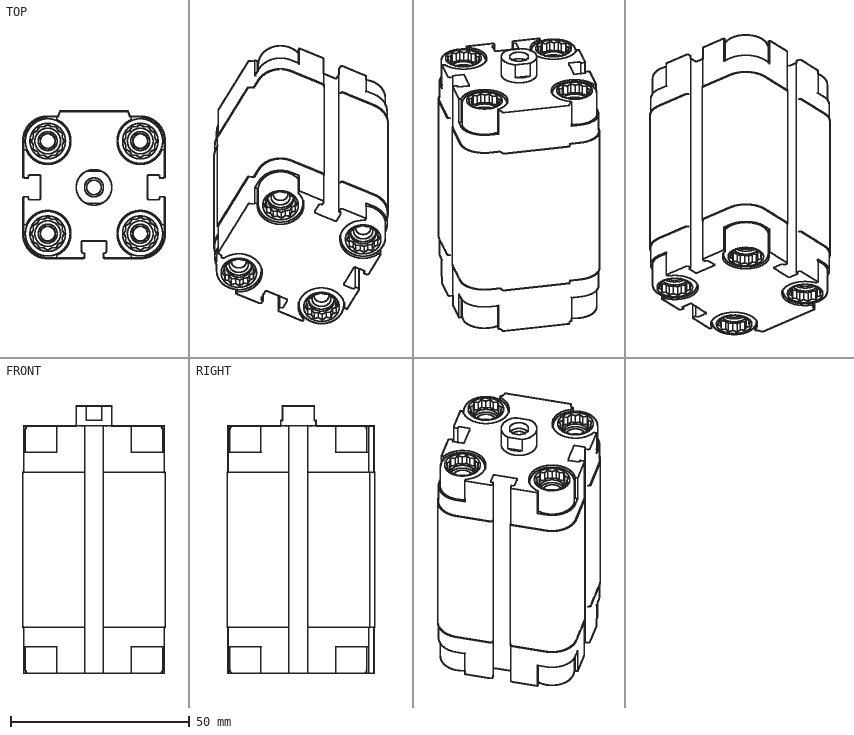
import cadquery as cq
import math

TOTAL_HEIGHT = 75.0
ROD_PROJECTION = 5.6
HOUSING_HEIGHT = TOTAL_HEIGHT - ROD_PROJECTION
CAP_HEIGHT = 13.0
BARREL_HEIGHT = HOUSING_HEIGHT - 2 * CAP_HEIGHT

BARREL_WIDTH = 40.0
BARREL_HALF = BARREL_WIDTH / 2
CAP_INSET = 0.25
CORNER_OFFSET = 13.0

RAIL_FOOT_HALF_WIDTH = 10.05
RAIL_TOP_HALF_WIDTH = 9.5
RAIL_HEIGHT = 1.5
RAIL_CREST_ROUND = 0.2
RAIL_FOOT_ROUND = 0.45

SLOT_MOUTH = 5.25
SLOT_WIDTH = 6.9
SLOT_LIP = 1.6
SLOT_DEPTH = 4.95
SLOT_MOUTH_ROUND = 0.5
SLOT_LIP_ROUND = 0.5
SLOT_FLOOR_ROUND = 0.3
SLOT_TURNS = (0, 90, -90)

POCKET_DEPTH = 7.4
POCKET_DIAMETER = 13.05
POCKET_WALL = 10.5
BOSS_DIAMETER = 12.5
BOSS_ROUND = 1.0

SOCKET_MOUTH_DIAMETER = 10.0
SOCKET_MOUTH_BOTTOM_DIAMETER = 8.1
SOCKET_MOUTH_SLOPE = 30.0
HEXAGON_SIDES = 6
HALF_SIDE_ANGLE = 180.0 / HEXAGON_SIDES
SOCKET_ACROSS_FLATS = 8.0
SOCKET_DEPTH = 3.0
RECESS_DIAMETER = 7.2
RECESS_DEPTH = 4.0
COUNTERSINK_DIAMETER = 5.3
COUNTERSINK_SLOPE = 65.0
BORE_DIAMETER = 4.1

ROD_DIAMETER = 10.0
ROD_FLATS = 9.0
ROD_FLAT_HEIGHT = 4.05
ROD_COUNTERBORE_DIAMETER = 5.3
ROD_COUNTERBORE_DEPTH = 2.0
ROD_HOLE_DIAMETER = 4.1
ROD_HOLE_DEPTH = 10.0
DRILL_POINT_ANGLE = 118.0

CORNERS = [(sx, sy) for sx in (-1, 1) for sy in (-1, 1)]


def slot_cutter(half, height):
    """T-slot on the -Y side of a section whose side face is at y = -half."""
    lip_back = -BARREL_HALF + SLOT_LIP
    floor = -BARREL_HALF + SLOT_DEPTH
    mouth = (
        cq.Workplane("XY")
        .moveTo(0, lip_back)
        .lineTo(SLOT_MOUTH / 2, lip_back)
        .lineTo(SLOT_MOUTH / 2, -half + SLOT_MOUTH_ROUND)
        .radiusArc((SLOT_MOUTH / 2 + SLOT_MOUTH_ROUND, -half), -SLOT_MOUTH_ROUND)
        .lineTo(0, -half)
        .mirrorY()
        .extrude(height)
    )
    channel = (
        cq.Workplane("XY")
        .center(0, (lip_back + floor) / 2)
        .rect(SLOT_WIDTH, floor - lip_back)
        .extrude(height)
        .faces("<Y")
        .edges("|Z")
        .fillet(SLOT_LIP_ROUND)
        .faces(">Y")
        .edges("|Z")
        .fillet(SLOT_FLOOR_ROUND)
    )
    return mouth.union(channel)


def rail(half, height):
    """Rail with sloping flanks and rounded crests, rooted inside the +Y side."""
    return (
        cq.Workplane("XY")
        .moveTo(-RAIL_FOOT_HALF_WIDTH, half - RAIL_HEIGHT)
        .lineTo(RAIL_FOOT_HALF_WIDTH, half - RAIL_HEIGHT)
        .lineTo(RAIL_FOOT_HALF_WIDTH, half)
        .lineTo(RAIL_TOP_HALF_WIDTH, half + RAIL_HEIGHT)
        .lineTo(-RAIL_TOP_HALF_WIDTH, half + RAIL_HEIGHT)
        .lineTo(-RAIL_FOOT_HALF_WIDTH, half)
        .close()
        .extrude(height)
        .faces(">Y")
        .edges("|Z")
        .fillet(RAIL_CREST_ROUND)
    )


def round_rail_feet(section, half, height):
    """Fillet the two inside edges where the rail leaves the +Y side."""
    reach = RAIL_FOOT_ROUND / 2
    feet = cq.selectors.BoxSelector(
        (-RAIL_FOOT_HALF_WIDTH - reach, half - reach, 0),
        (RAIL_FOOT_HALF_WIDTH + reach, half + reach, height),
    )
    return section.edges("|Z").edges(feet).fillet(RAIL_FOOT_ROUND)


def profile_section(half, height):
    """Length of slotted profile standing on z = 0."""
    section = (
        cq.Workplane("XY")
        .rect(2 * half, 2 * half)
        .extrude(height)
        .edges("|Z")
        .fillet(half - CORNER_OFFSET)
        .union(rail(half, height))
    )
    section = round_rail_feet(section, half, height)
    cutter = slot_cutter(half, height)
    for turn in SLOT_TURNS:
        section = section.cut(cutter.rotate((0, 0, 0), (0, 0, 1), turn))
    return section


def corner_pocket(sx, sy):
    """Ring-shaped clearance around a boss, opened to the outside corner."""
    floor = CAP_HEIGHT - POCKET_DEPTH
    opening = BARREL_HALF - POCKET_WALL
    middle = POCKET_WALL + opening / 2
    pocket = (
        cq.Workplane("XY", origin=(sx * CORNER_OFFSET, sy * CORNER_OFFSET, floor))
        .circle(POCKET_DIAMETER / 2)
        .extrude(POCKET_DEPTH)
    )
    corner = (
        cq.Workplane("XY", origin=(sx * middle, sy * middle, floor))
        .rect(opening, opening)
        .extrude(POCKET_DEPTH)
    )
    return pocket.union(corner)


def boss():
    """Round boss on the origin axis, filling the pocket height."""
    return (
        cq.Workplane("XY", origin=(0, 0, CAP_HEIGHT - POCKET_DEPTH))
        .circle(BOSS_DIAMETER / 2)
        .extrude(POCKET_DEPTH)
        .faces(">Z")
        .edges()
        .fillet(BOSS_ROUND)
    )


def slope_drop(run, slope):
    """Height lost over a horizontal run on a face inclined at the given angle."""
    return run * math.tan(math.radians(slope))


def socket_cutter():
    """Socket, recess and through hole of a boss, on the origin axis."""
    mouth_radius = SOCKET_MOUTH_DIAMETER / 2
    mouth_bottom_radius = SOCKET_MOUTH_BOTTOM_DIAMETER / 2
    recess_radius = RECESS_DIAMETER / 2
    sink_radius = COUNTERSINK_DIAMETER / 2
    bore_radius = BORE_DIAMETER / 2
    mouth_bottom = CAP_HEIGHT - slope_drop(mouth_radius - mouth_bottom_radius, SOCKET_MOUTH_SLOPE)
    recess_floor = CAP_HEIGHT - RECESS_DEPTH
    sink_bottom = recess_floor - slope_drop(sink_radius - bore_radius, COUNTERSINK_SLOPE)
    cutter = (
        cq.Workplane("XZ")
        .moveTo(0, 0)
        .lineTo(bore_radius, 0)
        .lineTo(bore_radius, sink_bottom)
        .lineTo(sink_radius, recess_floor)
        .lineTo(recess_radius, recess_floor)
        .lineTo(recess_radius, mouth_bottom)
        .lineTo(mouth_bottom_radius, mouth_bottom)
        .lineTo(mouth_radius, CAP_HEIGHT)
        .lineTo(0, CAP_HEIGHT)
        .close()
        .revolve(360, (0, 0, 0), (0, 1, 0))
    )
    across_corners = SOCKET_ACROSS_FLATS / math.cos(math.radians(HALF_SIDE_ANGLE))
    hexagon = (
        cq.Workplane("XY", origin=(0, 0, CAP_HEIGHT - SOCKET_DEPTH))
        .polygon(HEXAGON_SIDES, across_corners)
        .extrude(SOCKET_DEPTH)
    )
    return cutter.union(hexagon).union(hexagon.rotate((0, 0, 0), (0, 0, 1), HALF_SIDE_ANGLE))


def end_cap():
    """End cap with its joint face on z = 0 and its outer face upward."""
    cap = profile_section(BARREL_HALF - CAP_INSET, CAP_HEIGHT)
    corner_boss = boss()
    socket = socket_cutter()
    for sx, sy in CORNERS:
        place = (sx * CORNER_OFFSET, sy * CORNER_OFFSET, 0)
        cap = cap.cut(corner_pocket(sx, sy))
        cap = cap.union(corner_boss.translate(place))
        cap = cap.cut(socket.translate(place))
    return cap


def make_housing():
    """Barrel with a cap at each end, bored for the screws and the rod."""
    barrel = (
        profile_section(BARREL_HALF, BARREL_HEIGHT)
        .faces(">Z")
        .workplane(origin=(0, 0, 0))
        .pushPoints([(sx * CORNER_OFFSET, sy * CORNER_OFFSET) for sx, sy in CORNERS])
        .hole(BORE_DIAMETER)
        .translate((0, 0, CAP_HEIGHT))
    )
    cap = end_cap()
    top_cap = cap.translate((0, 0, HOUSING_HEIGHT - CAP_HEIGHT))
    bottom_cap = cap.mirror("XY").translate((0, 0, CAP_HEIGHT))
    rod_guide = (
        cq.Workplane("XY", origin=(0, 0, HOUSING_HEIGHT - CAP_HEIGHT))
        .circle(ROD_DIAMETER / 2)
        .extrude(CAP_HEIGHT)
    )
    return barrel.union(top_cap).union(bottom_cap).cut(rod_guide)


def rod_hole():
    """Counterbored blind hole with a conical bottom, from the rod's top end."""
    wide = ROD_COUNTERBORE_DIAMETER / 2
    narrow = ROD_HOLE_DIAMETER / 2
    step = TOTAL_HEIGHT - ROD_COUNTERBORE_DEPTH
    bottom = TOTAL_HEIGHT - ROD_HOLE_DEPTH
    point = narrow / math.tan(math.radians(DRILL_POINT_ANGLE / 2))
    return (
        cq.Workplane("XZ")
        .moveTo(0, TOTAL_HEIGHT)
        .lineTo(wide, TOTAL_HEIGHT)
        .lineTo(wide, step)
        .lineTo(narrow, step - (wide - narrow))
        .lineTo(narrow, bottom)
        .lineTo(0, bottom - point)
        .close()
        .revolve(360, (0, 0, 0), (0, 1, 0))
    )


def make_rod():
    """Rod filling the guide in the top cap, with two flats facing -Y and +Y."""
    length = CAP_HEIGHT + ROD_PROJECTION
    rod = (
        cq.Workplane("XY", origin=(0, 0, TOTAL_HEIGHT - length))
        .circle(ROD_DIAMETER / 2)
        .extrude(length)
    )
    flat_depth = (ROD_DIAMETER - ROD_FLATS) / 2
    flat_middle = (ROD_DIAMETER + ROD_FLATS) / 4
    flat_cuts = (
        cq.Workplane("XY", origin=(0, 0, TOTAL_HEIGHT - ROD_FLAT_HEIGHT))
        .pushPoints([(0, -flat_middle), (0, flat_middle)])
        .rect(ROD_DIAMETER, flat_depth)
        .extrude(ROD_FLAT_HEIGHT)
    )
    return rod.cut(flat_cuts).cut(rod_hole())


housing = make_housing()
piston_rod = make_rod()

result = cq.Compound.makeCompound([housing.val(), piston_rod.val()])